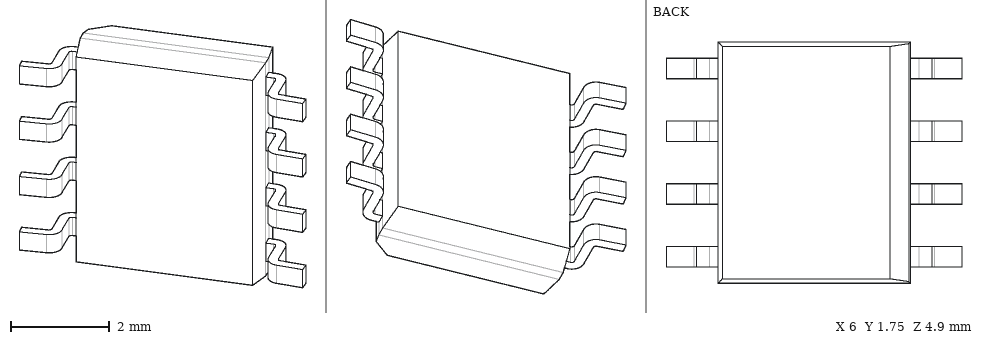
import cadquery as cq
import math

span_x = 6.0
depth_y = 1.75

package_width = 3.91
package_height = 4.9
package_depth = 1.5
band_depth = 0.23
draft_inset = 0.095
bevel = 0.385

leads_per_side = 4
lead_pitch = 1.27
lead_width = 0.42
lead_thickness = 0.21
leg_inner_x = 2.18
bend_inner_radius = 0.057
foot_tilt = math.radians(4)

bend_outer_radius = bend_inner_radius + lead_thickness
wing_depth = (package_depth - band_depth) / 2
bevel_edge_inset = draft_inset * (1 - bevel / wing_depth)
package_back_y = package_depth / 2
foot_tip_y = package_back_y - depth_y
leg_outer_x = leg_inner_x + lead_thickness
tip_x = span_x / 2
shoulder_y = lead_thickness / 2


def make_package():
    """Moulded block: a straight band with a drafted wing on either side."""
    draft_angle = math.degrees(math.atan2(draft_inset, wing_depth))

    def band_outline(y):
        plane = cq.Plane(origin=(0, y, 0), xDir=(1, 0, 0), normal=(0, math.copysign(1, y), 0))
        return cq.Workplane(plane).rect(package_width, package_height)

    back_wing = band_outline(band_depth / 2).extrude(wing_depth, taper=draft_angle)
    front_wing = band_outline(-band_depth / 2).extrude(wing_depth, taper=draft_angle)
    band = cq.Workplane("XY").box(package_width, band_depth, package_height)
    block = band.union(back_wing).union(front_wing)

    corner_x = -package_width / 2
    bevel_start_x = corner_x + bevel_edge_inset + bevel
    bevel_wedge = (
        cq.Workplane("XY")
        .polyline([
            (bevel_start_x, package_back_y),
            (bevel_start_x - 2 * bevel, package_back_y),
            (bevel_start_x - 2 * bevel, package_back_y - 2 * bevel),
        ])
        .close()
        .extrude(package_height / 2, both=True)
    )
    return block.cut(bevel_wedge)


def make_lead(z):
    """Gull-wing lead on the +X side, centred at height z."""
    sole_tip_x = tip_x - lead_thickness * math.sin(foot_tilt)
    foot_top_tip_y = foot_tip_y + lead_thickness * math.cos(foot_tilt)
    foot_slope = math.tan(foot_tilt)
    heel_y = foot_tip_y + (sole_tip_x - leg_inner_x) * foot_slope
    instep_y = foot_top_tip_y + (tip_x - leg_outer_x) * foot_slope

    strip = (
        cq.Workplane("XY")
        .workplane(offset=z - lead_width / 2)
        .polyline([
            (package_width / 2, shoulder_y),
            (leg_outer_x, shoulder_y),
            (leg_outer_x, instep_y),
            (tip_x, foot_top_tip_y),
            (sole_tip_x, foot_tip_y),
            (leg_inner_x, heel_y),
            (leg_inner_x, -shoulder_y),
            (package_width / 2, -shoulder_y),
        ])
        .close()
        .extrude(lead_width)
    )

    def edge_at(x, y):
        return cq.selectors.NearestToPointSelector((x, y, z))

    return (
        strip
        .edges(edge_at(leg_outer_x, shoulder_y)).fillet(bend_outer_radius)
        .edges(edge_at(leg_inner_x, heel_y)).fillet(bend_outer_radius)
        .edges(edge_at(leg_inner_x, -shoulder_y)).fillet(bend_inner_radius)
        .edges(edge_at(leg_outer_x, instep_y)).fillet(bend_inner_radius)
    )


package = make_package()

leads = []
for index in range(leads_per_side):
    lead_z = (index - (leads_per_side - 1) / 2) * lead_pitch
    right_lead = make_lead(lead_z)
    leads.append(right_lead.val())
    leads.append(right_lead.mirror("YZ").val())

result = cq.Compound.makeCompound([package.val(), *leads])